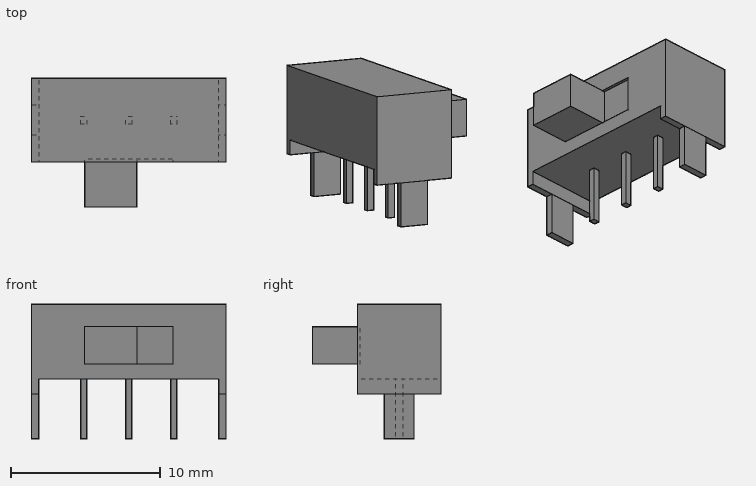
import cadquery as cq

housing_length = 13.0
housing_depth = 5.6
housing_height = 5.0
front_y = -housing_depth / 2

end_thickness = 0.5
skirt_drop = 1.0
leg_depth = 2.0
leg_length = 2.99

pin_count = 3
pin_pitch = 3.0
pin_width = 0.4
pin_depth = 0.5
pin_length = skirt_drop + leg_length

window_length = 5.9
window_height = 2.5
window_recess = 0.2
window_top_margin = 1.5
slider_length = 3.5
slider_projection = 3.0
window_floor_y = front_y + window_recess
window_z = housing_height - window_top_margin - window_height / 2
slider_x = (slider_length - window_length) / 2

end_x = (housing_length - end_thickness) / 2


def box_below(x, top_z, width, depth, height):
    """Box centred at x and Y = 0 that hangs down from top_z."""
    box = cq.Workplane("XY").box(width, depth, height, centered=(True, True, False))
    return box.translate((x, 0, top_z - height))


def box_at_window(x, length, depth):
    """Box as high as the window that reaches forward from the window floor."""
    box = cq.Workplane("XY").box(length, depth, window_height)
    return box.translate((x, window_floor_y - depth / 2, window_z))


def make_housing():
    """Block with end skirts, a front window and fixed contact pins."""
    housing = box_below(0, housing_height, housing_length, housing_depth, housing_height)
    for side in (-1, 1):
        skirt = box_below(side * end_x, 0, end_thickness, housing_depth, skirt_drop)
        housing = housing.union(skirt)
    for index in range(pin_count):
        pin_x = (index - (pin_count - 1) / 2) * pin_pitch
        housing = housing.union(box_below(pin_x, 0, pin_width, pin_depth, pin_length))
    return housing.cut(box_at_window(0, window_length, window_recess)).clean()


def make_slider():
    """Actuator that stands on the window floor at the -X end of its travel."""
    return box_at_window(slider_x, slider_length, window_recess + slider_projection)


def make_leg(side):
    """Mounting leg below the skirt at one end: side is -1 or 1."""
    return box_below(side * end_x, -skirt_drop, end_thickness, leg_depth, leg_length)


housing = make_housing()
slider = make_slider()
legs = [make_leg(side) for side in (-1, 1)]

result = cq.Compound.makeCompound([housing.val(), slider.val(), *[leg.val() for leg in legs]])